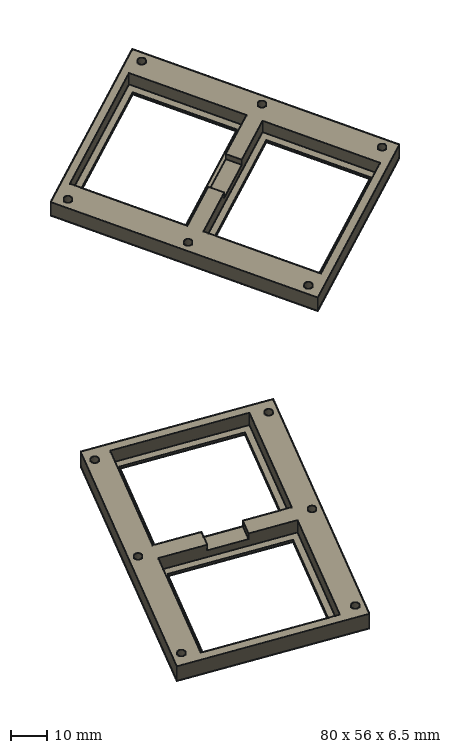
import cadquery as cq

length = 80.0
width = 56.0
height = 6.5

pocket_length = 35.2
pocket_width = 40.5
ledge_width = 2.0
ledge_thickness = 1.0
window_spacing = 40.0

notch_width = 12.0
notch_depth = 2.5

hole_diameter = 2.4
hole_columns = 3
hole_rows = 2
hole_spacing_x = 36.0
hole_spacing_y = 50.6

window_centers = [(-window_spacing / 2, 0), (window_spacing / 2, 0)]
bar_length = window_spacing - pocket_length


def make_plate():
    return cq.Workplane("XY").box(length, width, height, centered=(True, True, False))


def cut_windows(body):
    """Cut both pockets, then open their floors to leave a ledge all round."""
    pockets = (
        cq.Workplane("XY")
        .workplane(offset=ledge_thickness)
        .pushPoints(window_centers)
        .rect(pocket_length, pocket_width)
        .extrude(height - ledge_thickness)
    )
    openings = (
        cq.Workplane("XY")
        .pushPoints(window_centers)
        .rect(pocket_length - 2 * ledge_width, pocket_width - 2 * ledge_width)
        .extrude(height)
    )
    return body.cut(pockets).cut(openings)


def cut_notch(body):
    """Lower the middle of the bar so that the two pockets are joined."""
    notch = (
        cq.Workplane("XY")
        .workplane(offset=height - notch_depth)
        .rect(bar_length, notch_width)
        .extrude(notch_depth)
    )
    return body.cut(notch)


def cut_holes(body):
    """Drill three through holes along each long side."""
    holes = (
        cq.Workplane("XY")
        .rarray(hole_spacing_x, hole_spacing_y, hole_columns, hole_rows)
        .circle(hole_diameter / 2)
        .extrude(height)
    )
    return body.cut(holes)


result = cut_holes(cut_notch(cut_windows(make_plate())))